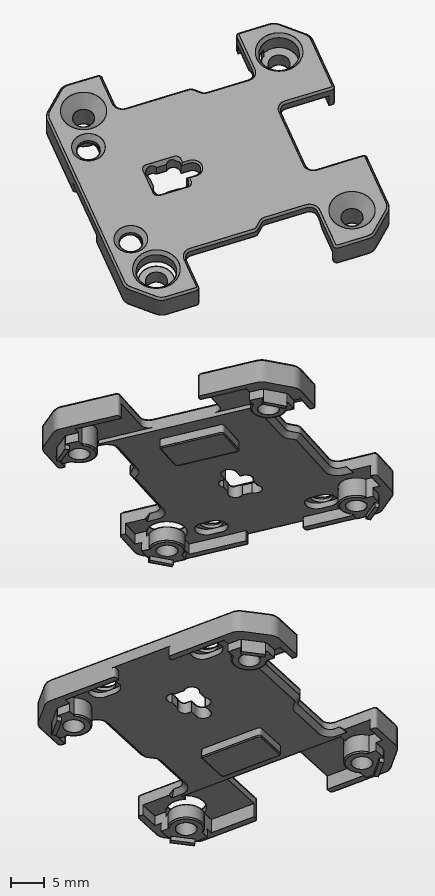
import cadquery as cq
import math

top_z = 6.25
plate_thickness = 2.25
plate_bottom_z = top_z - plate_thickness
recess_roof_z = top_z - 1.6
skirt_bottom_z = top_z - 4.05
boss_bottom_z = top_z - 5.5
pad_bottom_z = top_z - 3.8
tab_bottom_z = 0.0

half_size = 21.0
corner_cut = 4.2
corner_radius = 2.1
tip_radius = 0.5
inner_radius = 1.25
top_chamfer = 0.35

notch_half_width = 6.43
notch_floor_y = 11.93
arm_edge_y = 10.65
rear_waist_x = 12.47
front_waist_x = 13.95
jog_y = 2.48
jog_radius = 1.05
waist_bevel = 0.8
bevel_overrun = 0.85

skirt_wall = 1.0
front_gap_half_width = 4.65
front_gap_radius = 0.4

screw_offset = 15.45
screw_diameter = 3.25
countersink_diameter = 6.85
counterbore_diameter = 6.0
counterbore_rim_diameter = 7.05
counterbore_depth = 3.0
boss_diameter = 5.4
boss_chamfer = 0.2
block_inner = 13.95
block_outer = 18.9
block_cut = 2.77
block_radius = 1.05
tab_length = 3.7
tab_thickness = 0.67

small_hole_x = 9.0
small_hole_y = -17.1
small_hole_diameter = 3.5
small_rim_diameter = 5.0
small_hole_land = 0.55
small_slot_length = 5.1

key_center_y = -8.02
key_half_size = 2.4
key_relief_radius = 1.15
key_relief_offset = 1.6
key_rim_half_size = 3.005
key_rim_radius = 0.85
slot_radius = 1.2
slot_center_y = -4.0
slot_chamfer = 0.3

pad_width = 10.5
pad_length = 6.0
pad_center_y = 6.43
pad_radius = 0.5
pad_chamfer = 0.15


def rounded_outline(z, corners):
    """Closed outline at height z from (x, y, radius) corners; radius 0 stays sharp."""
    stretches = []
    for i, (x, y, radius) in enumerate(corners):
        here = cq.Vector(x, y)
        to_previous = (cq.Vector(*corners[i - 1][:2]) - here).normalized()
        to_next = (cq.Vector(*corners[(i + 1) % len(corners)][:2]) - here).normalized()
        half_angle = to_previous.getAngle(to_next) / 2
        trim = radius / math.tan(half_angle)
        bisector = (to_previous + to_next).normalized()
        middle = here + bisector * (radius / math.sin(half_angle) - radius)
        stretches.append((here + to_previous * trim, middle, here + to_next * trim, radius))

    outline = cq.Workplane("XY").workplane(offset=z).moveTo(*stretches[0][2].toTuple()[:2])
    for start, middle, end, radius in stretches[1:] + stretches[:1]:
        outline = outline.lineTo(*start.toTuple()[:2])
        if radius > 0:
            outline = outline.threePointArc(middle.toTuple()[:2], end.toTuple()[:2])
    return outline.close()


def tapered(lower, upper):
    """Solid with straight sloping sides between two outlines."""
    return cq.Workplane(cq.Solid.makeLoft([lower.val(), upper.val()], True))


def mirrored(corners):
    """Corners of the right half followed by their mirror images on the left."""
    return corners + [(-x, y, radius) for x, y, radius in reversed(corners)]


def box(x_range, y_range, z_range):
    """Axis-aligned box between pairs of limits."""
    lows, highs = zip(x_range, y_range, z_range)
    size = [high - low for low, high in zip(lows, highs)]
    return cq.Workplane("XY").box(*size, centered=False).translate(lows)


def cylinder(x, y, diameter, z_low, z_high):
    return cq.Workplane("XY").workplane(offset=z_low).center(x, y).circle(diameter / 2).extrude(z_high - z_low)


def cone_sink(x, y, rim_diameter, hole_diameter):
    """45 degree countersink from the top face down to the hole diameter."""
    depth = (rim_diameter - hole_diameter) / 2
    rim = cq.Workplane("XY").workplane(offset=top_z).center(x, y).circle(rim_diameter / 2)
    return rim.workplane(offset=-depth).circle(hole_diameter / 2).loft(combine=True)


def waist_corners(growth=0.0):
    """Right-hand waist edge from rear arm to front arm; growth moves it into the material."""
    shift = growth * math.tan(math.radians(22.5))
    rear_x = rear_waist_x - growth
    front_x = front_waist_x - growth
    edge_y = arm_edge_y + growth
    jog_front_y = jog_y - (front_waist_x - rear_waist_x)
    return [
        (rear_x, edge_y, inner_radius + growth),
        (rear_x, jog_y - shift, jog_radius + growth),
        (front_x, jog_front_y - shift, jog_radius - growth),
        (front_x, -edge_y, inner_radius + growth),
    ]


def bevel_section(z, growth):
    """Section of the wedge under the right-hand waist, running a little way under both arms."""
    overrun = inner_radius + bevel_overrun + growth
    edge_y = arm_edge_y + growth
    rear_end = (rear_waist_x + overrun, edge_y, 0)
    front_end = (front_waist_x + overrun, -edge_y, 0)
    return rounded_outline(z, [rear_end] + waist_corners(growth) + [front_end])


cut_start = half_size - corner_cut
front_corner = [(half_size, -cut_start, corner_radius), (cut_start, -half_size, corner_radius)]
rear_corner = [(cut_start, half_size, corner_radius), (half_size, cut_start, corner_radius)]


def make_plate():
    corners = [(notch_half_width, notch_floor_y, inner_radius), (notch_half_width, half_size, tip_radius)]
    corners += rear_corner + [(half_size, arm_edge_y, tip_radius)]
    corners += waist_corners() + [(half_size, -arm_edge_y, tip_radius)] + front_corner
    plate = rounded_outline(plate_bottom_z, mirrored(corners)).extrude(plate_thickness)
    plate = plate.faces(">Z").edges().chamfer(top_chamfer)

    lower_section = bevel_section(plate_bottom_z, waist_bevel)
    upper_section = bevel_section(plate_bottom_z + waist_bevel, 0.0)
    bevel = tapered(lower_section, upper_section)
    plate = plate.cut(bevel).cut(bevel.mirror("YZ"))

    return plate.cut(
        box(
            (-block_inner, block_inner),
            (notch_floor_y, half_size - skirt_wall),
            (plate_bottom_z, recess_roof_z),
        )
    )


def make_skirt():
    """Wall below the plate edge, closed by solid blocks at the four corners."""
    height = plate_bottom_z - skirt_bottom_z
    levels = (skirt_bottom_z, plate_bottom_z)
    octagon = mirrored(rear_corner + front_corner)
    solid = rounded_outline(skirt_bottom_z, octagon).extrude(height)
    inside = rounded_outline(skirt_bottom_z, octagon).offset2D(-skirt_wall).extrude(height)
    for x_side in (-1, 1):
        for y_side in (-1, 1):
            x_range = sorted((x_side * block_inner, x_side * half_size))
            y_range = sorted((y_side * block_inner, y_side * half_size))
            inside = inside.cut(box(x_range, y_range, levels))
    skirt = solid.cut(inside)

    skirt = skirt.cut(box((-half_size, half_size), (-arm_edge_y, arm_edge_y), levels))
    skirt = skirt.cut(box((-notch_half_width, notch_half_width), (notch_floor_y, half_size), levels))
    skirt = skirt.cut(box((-front_gap_half_width, front_gap_half_width), (-half_size, 0), levels))

    def outer_edges_at(x, y):
        reach = 0.05
        return cq.selectors.BoxSelector(
            (x - reach, y - reach, skirt_bottom_z), (x + reach, y + reach, plate_bottom_z)
        )

    for side in (-1, 1):
        for y in (-arm_edge_y, arm_edge_y):
            skirt = skirt.edges(outer_edges_at(side * half_size, y)).fillet(tip_radius)
        skirt = skirt.edges(outer_edges_at(side * notch_half_width, half_size)).fillet(tip_radius)
        skirt = skirt.edges(outer_edges_at(side * front_gap_half_width, -half_size)).fillet(front_gap_radius)
    return skirt


def make_station():
    """Boss, corner block and locating tab for the +X +Y corner."""
    boss = cylinder(screw_offset, screw_offset, boss_diameter, boss_bottom_z, recess_roof_z)
    boss = boss.faces("<Z").edges().chamfer(boss_chamfer)

    cut_from = block_outer - block_cut
    block = rounded_outline(
        boss_bottom_z,
        [
            (block_inner, block_inner, 0),
            (block_outer, block_inner, 0),
            (block_outer, cut_from, block_radius),
            (cut_from, block_outer, block_radius),
            (block_inner, block_outer, 0),
        ],
    ).extrude(skirt_bottom_z - boss_bottom_z)

    tab_face = (block_outer + cut_from) / math.sqrt(2)
    tab = box(
        (tab_face - tab_thickness, tab_face),
        (-tab_length / 2, tab_length / 2),
        (tab_bottom_z, skirt_bottom_z),
    ).rotate((0, 0, 0), (0, 0, 1), 45)
    return boss.union(block).union(tab)


def make_pad():
    pad = cq.Workplane("XY").workplane(offset=pad_bottom_z).center(0, pad_center_y)
    pad = pad.rect(pad_width, pad_length).extrude(plate_bottom_z - pad_bottom_z)
    return pad.edges("|Z").fillet(pad_radius).faces("<Z").edges().chamfer(pad_chamfer)


def make_keyhole():
    """Square opening with round corner reliefs, a round-ended slot and a bevelled rim."""
    base = cq.Workplane("XY").workplane(offset=plate_bottom_z).center(0, key_center_y)
    opening = base.rect(2 * key_half_size, 2 * key_half_size).extrude(plate_thickness)
    reliefs = base.rect(2 * key_relief_offset, 2 * key_relief_offset, forConstruction=True).vertices()
    opening = opening.union(reliefs.circle(key_relief_radius).extrude(plate_thickness))

    def rim_outline(half, radius, z):
        low, high = key_center_y - half, key_center_y + half
        return rounded_outline(z, mirrored([(half, high, radius), (half, low, radius)]))

    rim_depth = key_rim_half_size - key_half_size
    rim_floor = rim_outline(key_half_size, key_rim_radius - rim_depth, top_z - rim_depth)
    rim_top = rim_outline(key_rim_half_size, key_rim_radius, top_z)
    rim = tapered(rim_floor, rim_top)

    def slot(half_width, z):
        outline = cq.Workplane("XY").workplane(offset=z).moveTo(half_width, key_center_y)
        outline = outline.lineTo(half_width, slot_center_y)
        outline = outline.threePointArc((0, slot_center_y + half_width), (-half_width, slot_center_y))
        return outline.lineTo(-half_width, key_center_y).close()

    slot_opening = slot(slot_radius, plate_bottom_z).extrude(plate_thickness)
    slot_rim = tapered(slot(slot_radius, top_z - slot_chamfer), slot(slot_radius + slot_chamfer, top_z))
    return opening.union(rim).union(slot_opening).union(slot_rim)


def make_screw_holes():
    slot_roof_z = top_z - (small_rim_diameter - small_hole_diameter) / 2 - small_hole_land
    holes = cq.Workplane("XY")
    for x_side in (-1, 1):
        for y_side in (-1, 1):
            x, y = x_side * screw_offset, y_side * screw_offset
            holes = holes.add(cylinder(x, y, screw_diameter, tab_bottom_z, top_z))
            if x_side == y_side:
                holes = holes.add(cone_sink(x, y, countersink_diameter, screw_diameter))
            else:
                holes = holes.add(cylinder(x, y, counterbore_diameter, top_z - counterbore_depth, top_z))
                holes = holes.add(cone_sink(x, y, counterbore_rim_diameter, counterbore_diameter))
        x = x_side * small_hole_x
        holes = holes.add(cylinder(x, small_hole_y, small_hole_diameter, plate_bottom_z, top_z))
        slot = cq.Workplane("XY").workplane(offset=plate_bottom_z).center(x, small_hole_y)
        slot = slot.slot2D(small_slot_length, small_hole_diameter).extrude(slot_roof_z - plate_bottom_z)
        holes = holes.add(slot)
        holes = holes.add(cone_sink(x, small_hole_y, small_rim_diameter, small_hole_diameter))
    return holes.combine()


body = make_plate().union(make_skirt()).union(make_pad())
station = make_station()
for quarter_turn in range(4):
    body = body.union(station.rotate((0, 0, 0), (0, 0, 1), 90 * quarter_turn))
result = body.cut(make_screw_holes()).cut(make_keyhole())